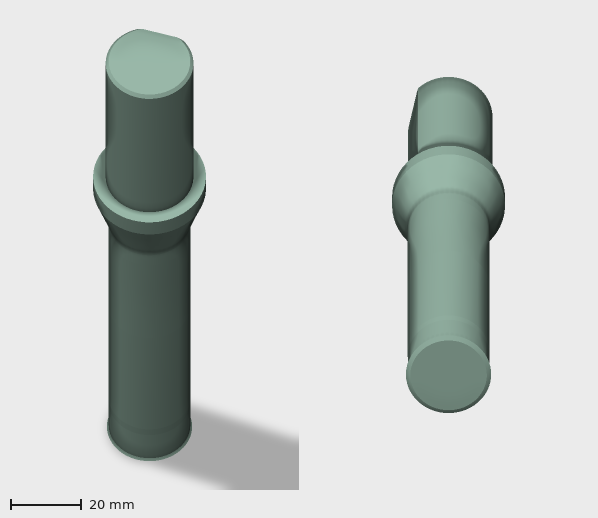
import cadquery as cq
import math

TOTAL_LENGTH = 178.0
COLLAR_TOP = 122.1
COLLAR_BOTTOM = 116.2
TAPER_CORNER = 101.1
BLEND_BOTTOM = 100.0
WAIST_TOP = 95.2
HEAD_TOP = 59.8
GUIDE_BOTTOM = 15.5
TIP_TOP = 12.6
LIP_HEIGHT = 1.5

SHANK_DIAMETER = 25.0
COLLAR_DIAMETER = 32.0
STEM_DIAMETER = 23.3
WAIST_DIAMETER = 23.1
TIP_DIAMETER = 23.1
LIP_DIAMETER = 24.2
BOTTOM_DIAMETER = 21.7

SHANK_CHAMFER = 0.9
FLAT_OFFSET = 10.3
FLAT_BOTTOM = 126.2
FLAT_RUNOUT = SHANK_DIAMETER / 2 - FLAT_OFFSET


def flat_cutter():
    """Material removed for the flat on the +Y side, with a sloped run-out at its lower end."""
    outer = COLLAR_DIAMETER / 2
    return (
        cq.Workplane("YZ")
        .moveTo(FLAT_OFFSET, TOTAL_LENGTH)
        .lineTo(FLAT_OFFSET, FLAT_BOTTOM)
        .lineTo(FLAT_OFFSET + FLAT_RUNOUT, FLAT_BOTTOM - FLAT_RUNOUT)
        .lineTo(outer, FLAT_BOTTOM - FLAT_RUNOUT)
        .lineTo(outer, TOTAL_LENGTH)
        .close()
        .extrude(SHANK_DIAMETER / 2, both=True)
    )


def make_holder():
    """Shank with clamping flat, collar, blended taper and slightly waisted stem."""
    stem_radius = STEM_DIAMETER / 2
    collar_radius = COLLAR_DIAMETER / 2
    shank_radius = SHANK_DIAMETER / 2

    taper_angle = math.atan2(collar_radius - stem_radius, COLLAR_BOTTOM - TAPER_CORNER)
    blend_length = TAPER_CORNER - BLEND_BOTTOM
    blend_top = (
        stem_radius + blend_length * math.sin(taper_angle),
        TAPER_CORNER + blend_length * math.cos(taper_angle),
    )

    body = (
        cq.Workplane("XZ")
        .moveTo(0, HEAD_TOP)
        .lineTo(stem_radius, HEAD_TOP)
        .threePointArc((WAIST_DIAMETER / 2, (HEAD_TOP + WAIST_TOP) / 2), (stem_radius, WAIST_TOP))
        .lineTo(stem_radius, BLEND_BOTTOM)
        .tangentArcPoint(blend_top, relative=False)
        .lineTo(collar_radius, COLLAR_BOTTOM)
        .lineTo(collar_radius, COLLAR_TOP)
        .lineTo(shank_radius, COLLAR_TOP)
        .lineTo(shank_radius, TOTAL_LENGTH - SHANK_CHAMFER)
        .lineTo(shank_radius - SHANK_CHAMFER, TOTAL_LENGTH)
        .lineTo(0, TOTAL_LENGTH)
        .close()
        .revolve(360, (0, 0), (0, 1))
    )
    return body.cut(flat_cutter())


def make_head():
    """Lower head, stepped to the tip diameter and ending in a small bevelled lip."""
    stem_radius = STEM_DIAMETER / 2
    tip_radius = TIP_DIAMETER / 2
    return (
        cq.Workplane("XZ")
        .lineTo(BOTTOM_DIAMETER / 2, 0)
        .lineTo(LIP_DIAMETER / 2, LIP_HEIGHT / 2)
        .lineTo(tip_radius, LIP_HEIGHT)
        .lineTo(tip_radius, TIP_TOP)
        .lineTo(stem_radius, GUIDE_BOTTOM)
        .lineTo(stem_radius, HEAD_TOP)
        .lineTo(0, HEAD_TOP)
        .close()
        .revolve(360, (0, 0), (0, 1))
    )


holder = make_holder()
head = make_head()
result = cq.Compound.makeCompound([holder.val(), head.val()])